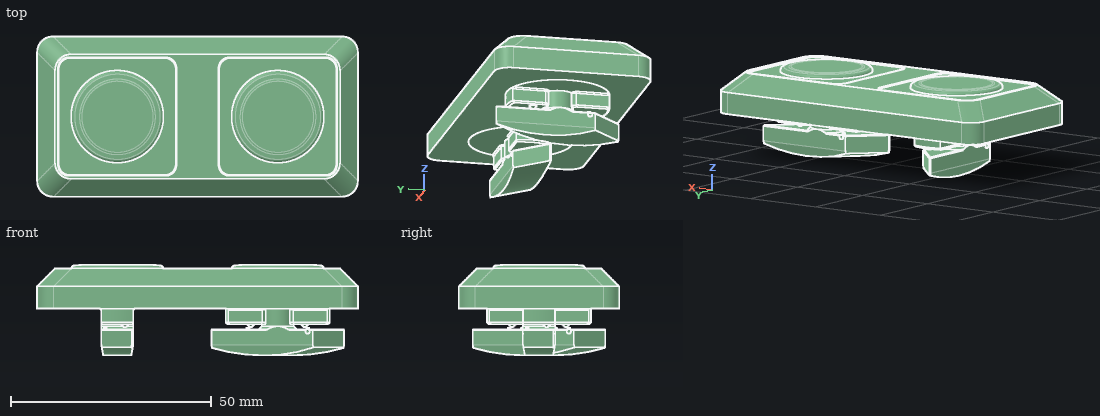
import cadquery as cq
import math

frame_length = 80.0
frame_width = 40.0
frame_height = 10.0
frame_wall_height = 5.5
frame_slope_inset = 4.5
frame_corner_radius = 4.0
unit_spacing = 40.0

inlay_size = 29.1
inlay_corner_radius = 2.6
pocket_edge_chamfer = 0.2
inlay_top = frame_height - pocket_edge_chamfer
inlay_bottom = frame_wall_height

knob_top = 11.0
knob_radius = 11.5
knob_rounding_radius = 10.6
knob_rounding_top = 10.8
knob_crown_radius = 9.4
knob_crown_top = 10.9
knob_face_radius = 8.9

clamp_diameter = 26.0
foot_bottom = -3.9
foot_half_width = 4.0
foot_edge_height = 0.5
foot_side_edge_inset = 0.2
foot_inner_end = 3.0
foot_inner_chamfer = 1.0
foot_root_height = 0.4
foot_root_flare = 0.3

cone_x = 1.9
cone_y = -6.7
cone_base_radius = 1.0
cone_tip_radius = 0.2
cone_height = 0.7

post_diameter = 8.0
collar_top = -4.4
bar_top = -5.1
bar_bottom = -11.7
bar_half_length = 16.6
bar_half_width = 4.0
bar_top_chamfer = 0.2
bar_draft_top = -9.0
bar_draft_inset = 0.5
bar_cut_start = 8.7
bar_cut_end_offset = 3.6
bar_cut_bottom = -9.7

notch_y = -7.4
notch_depth_below_top = 0.6
notch_radius = 0.6
stud_x = -3.0
stud_radius = 0.4
stud_height = 0.3


def rounded_block(length, width, bottom, height, radius):
    """Plate centred on the Z axis, with rounded vertical edges."""
    block = cq.Workplane("XY").workplane(offset=bottom).rect(length, width).extrude(height)
    return block.edges("|Z").fillet(radius)


def rounded_rectangle(length, width, radius):
    return cq.Sketch().rect(length, width).vertices().fillet(radius)


def cylinder(diameter, bottom, top):
    return cq.Workplane("XY").workplane(offset=bottom).circle(diameter / 2).extrude(top - bottom)


def with_half_turn_copy(shape):
    """The shape together with its copy turned half a turn about Z."""
    return shape.union(shape.rotate((0, 0, 0), (0, 0, 1), 180))


def slope_angle(inset, height):
    """Taper in degrees that moves a side inwards by inset over a height."""
    return math.degrees(math.atan2(inset, height))


def make_inlay_blank():
    height = inlay_top - inlay_bottom
    return rounded_block(inlay_size, inlay_size, inlay_bottom, height, inlay_corner_radius)


def make_frame():
    wall = rounded_block(frame_length, frame_width, 0, frame_wall_height, frame_corner_radius)
    upper_length = frame_length - 2 * frame_slope_inset
    upper_width = frame_width - 2 * frame_slope_inset
    lower_outline = rounded_rectangle(frame_length, frame_width, frame_corner_radius)
    upper_outline = rounded_rectangle(upper_length, upper_width, frame_corner_radius)
    slope_height = frame_height - frame_wall_height
    slope = (
        cq.Workplane("XY")
        .placeSketch(lower_outline, upper_outline.moved(cq.Location(cq.Vector(0, 0, slope_height))))
        .loft(ruled=True)
        .translate((0, 0, frame_wall_height))
    )
    frame = wall.union(slope)

    inlay_outline = rounded_rectangle(inlay_size, inlay_size, inlay_corner_radius)
    mouth = cq.Workplane("XY").workplane(offset=inlay_top).placeSketch(inlay_outline)
    mouth = mouth.extrude(pocket_edge_chamfer, taper=-45)
    opening = make_inlay_blank().union(mouth).union(cylinder(clamp_diameter, 0, inlay_bottom))
    for side in (-1, 1):
        frame = frame.cut(opening.translate((side * unit_spacing / 2, 0, 0)))
    return frame


def make_inlay():
    return make_inlay_blank().cut(cylinder(post_diameter, inlay_bottom, inlay_top))


def make_knob():
    rounding_width = knob_radius - knob_rounding_radius
    rounding_height = knob_rounding_top - inlay_top
    arc_middle = (
        knob_rounding_radius + rounding_width * math.cos(math.pi / 4),
        inlay_top + rounding_height * math.sin(math.pi / 4),
    )
    profile = (
        cq.Workplane("XZ")
        .moveTo(0, inlay_top)
        .lineTo(knob_radius, inlay_top)
        .threePointArc(arc_middle, (knob_rounding_radius, knob_rounding_top))
        .lineTo(knob_crown_radius, knob_crown_top)
        .lineTo(knob_face_radius, knob_top)
        .lineTo(0, knob_top)
        .close()
    )
    return profile.revolve(360, (0, 0, 0), (0, 1, 0))


def foot_prism(half_width, top, bottom, taper=0):
    """Foot on the -Y side, with bevelled inner corners and an overlong outer end."""
    inner_half_width = half_width - foot_inner_chamfer
    outline = [
        (-inner_half_width, -foot_inner_end),
        (inner_half_width, -foot_inner_end),
        (half_width, -foot_inner_end - foot_inner_chamfer),
        (half_width, -clamp_diameter),
        (-half_width, -clamp_diameter),
        (-half_width, -foot_inner_end - foot_inner_chamfer),
    ]
    foot = cq.Workplane("XY").workplane(offset=top).polyline(outline).close()
    return foot.extrude(bottom - top, taper=taper)


def make_clamp():
    foot_edge_top = foot_bottom + foot_edge_height
    root_taper = slope_angle(foot_root_flare, foot_root_height)
    edge_taper = slope_angle(foot_side_edge_inset, foot_edge_height)
    root = foot_prism(foot_half_width + foot_root_flare, 0, -foot_root_height, root_taper)
    shank = foot_prism(foot_half_width, 0, foot_edge_top)
    lower_edge = foot_prism(foot_half_width, foot_edge_top, foot_bottom, edge_taper)
    envelope = cylinder(clamp_diameter, foot_bottom, 0).faces("<Z").chamfer(foot_edge_height)
    foot = shank.union(root).union(lower_edge).intersect(envelope)

    cone = cq.Workplane(
        cq.Solid.makeCone(
            cone_base_radius, cone_tip_radius, cone_height,
            cq.Vector(cone_x, cone_y, foot_bottom), cq.Vector(0, 0, -1),
        )
    )
    feet = with_half_turn_copy(foot.union(cone))
    clamp = cylinder(clamp_diameter, 0, inlay_bottom).union(feet)
    return clamp.cut(cylinder(post_diameter, foot_bottom, inlay_bottom))


def make_bar():
    outline = [
        (-bar_half_width, -bar_cut_start),
        (bar_cut_end_offset, -bar_half_length),
        (bar_half_width, -bar_half_length),
        (bar_half_width, bar_cut_start),
        (-bar_cut_end_offset, bar_half_length),
        (-bar_half_width, bar_half_length),
    ]
    bar = cq.Workplane("XY").workplane(offset=bar_top).polyline(outline).close()
    bar = bar.extrude(bar_bottom - bar_top).faces(">Z").chamfer(bar_top_chamfer)

    length = 2 * bar_half_length
    width = 2 * bar_half_width
    draft_height = bar_draft_top - bar_bottom
    draft_taper = slope_angle(bar_draft_inset, draft_height)
    base = cq.Workplane("XY").workplane(offset=bar_draft_top).placeSketch(cq.Sketch().rect(width, length))
    upper = base.extrude(bar_top - bar_draft_top)
    lower = base.extrude(-draft_height, taper=draft_taper)
    bar = bar.intersect(upper.union(lower))

    cut_run = bar_half_width + bar_cut_end_offset
    cut_drop = bar_half_length - bar_cut_start
    cut_length = math.hypot(cut_run, cut_drop)
    cut_distance = (bar_half_width * cut_drop + bar_cut_start * cut_run) / cut_length
    sagitta = bar_cut_bottom - bar_bottom
    bottom_radius = (cut_distance**2 + sagitta**2) / (2 * sagitta)
    bottom_shape = cq.Workplane(
        cq.Solid.makeCylinder(
            bottom_radius,
            4 * bar_half_length,
            cq.Vector(-2 * bar_half_length * cut_run / cut_length,
                      2 * bar_half_length * cut_drop / cut_length,
                      bar_bottom + bottom_radius),
            cq.Vector(cut_run, -cut_drop, 0),
        )
    )
    return bar.intersect(bottom_shape)


def make_latch():
    post_radius = post_diameter / 2
    collar_bottom = bar_top - bar_top_chamfer
    collar_height = collar_top - collar_bottom
    collar = cq.Workplane(
        cq.Solid.makeCone(
            post_radius + collar_height, post_radius, collar_height, cq.Vector(0, 0, collar_bottom)
        )
    )
    trim = cq.Workplane("XY").box(2 * bar_half_width, 2 * bar_half_length, -2 * bar_bottom)
    post = cylinder(post_diameter, bar_top, inlay_top)
    latch = make_bar().union(collar.intersect(trim)).union(post)

    notch = cq.Workplane("XY").sphere(notch_radius)
    notch = notch.translate((-bar_half_width, notch_y, bar_top - notch_depth_below_top))
    stud = cylinder(2 * stud_radius, bar_top, bar_top + stud_height).translate((stud_x, notch_y, 0))
    return latch.cut(with_half_turn_copy(notch)).union(with_half_turn_copy(stud))


def place_unit(shape, side):
    """Move a part to its unit; the right-hand unit is turned a quarter turn."""
    turn = 0 if side < 0 else 90
    return shape.rotate((0, 0, 0), (0, 0, 1), turn).translate((side * unit_spacing / 2, 0, 0))


bodies = [make_frame().val()]
for side in (-1, 1):
    for part in (make_inlay(), make_knob(), make_clamp(), make_latch()):
        bodies.append(place_unit(part, side).val())

result = cq.Compound.makeCompound(bodies)